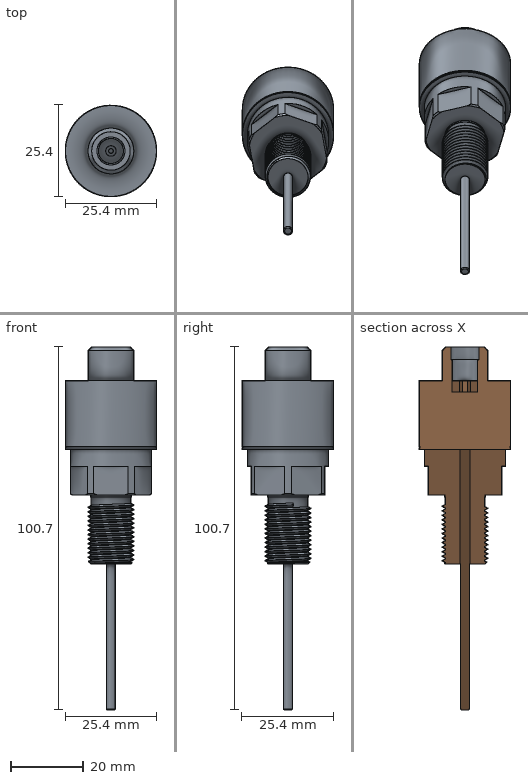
import cadquery as cq
import math

TOTAL_HEIGHT = 100.7
HOUSING_TOP = 91.3
HOUSING_BOTTOM = 72.2
FLATS_TOP = 67.6
HEX_BOTTOM = 59.6
SHOULDER_BOTTOM = 59.0
THREAD_TOP = 56.9
STUD_BOTTOM = 40.5

HOUSING_DIAMETER = 25.4
GROOVE_OFFSET = 0.5
GROOVE_WIDTH = 0.3
GROOVE_DEPTH = 0.1
NECK_DIAMETER = 12.7
NECK_CHAMFER = 1.0
SOCKET_DIAMETER = 7.8
SOCKET_DEPTH = 3.5
INNER_BORE_DIAMETER = 6.9

INSULATOR_TOP = HOUSING_TOP
INSULATOR_THICKNESS = 3.0
SLEEVE_DIAMETER = 2.9
PIN_DIAMETER = 1.3

COLLAR_DIAMETER = 22.6
ACROSS_FLATS = 20.4
FLAT_COUNT = 6
COLLAR_CHAMFER = 0.4
SHOULDER_DIAMETER = 11.3
ROOT_DIAMETER = 11.1
CREST_DIAMETER = 12.7
THREAD_PITCH = 1.26
CREST_WIDTH = 0.1
ROOT_GAP = 0.1
RIDGE_OVERLAP = 0.1
STUD_CHAMFER = 0.8
TRIM_MARGIN = 0.5

ROD_DIAMETER = 2.5
ROD_CHAMFER = 0.3


def cylinder(diameter, bottom, top):
    """Upright cylinder on the central axis."""
    return cq.Workplane("XY").workplane(offset=bottom).circle(diameter / 2).extrude(top - bottom)


def make_housing():
    """Round housing with a socket neck on top, a fine groove near its lower edge and a stepped bore."""
    drum = cylinder(HOUSING_DIAMETER, HOUSING_BOTTOM, HOUSING_TOP)
    groove_bottom = HOUSING_BOTTOM + GROOVE_OFFSET
    groove_top = groove_bottom + GROOVE_WIDTH
    groove_core = cylinder(HOUSING_DIAMETER - 2 * GROOVE_DEPTH, groove_bottom, groove_top)
    groove = cylinder(2 * HOUSING_DIAMETER, groove_bottom, groove_top).cut(groove_core)
    neck = cylinder(NECK_DIAMETER, HOUSING_TOP, TOTAL_HEIGHT).faces(">Z").chamfer(NECK_CHAMFER)
    socket = cylinder(SOCKET_DIAMETER, TOTAL_HEIGHT - SOCKET_DEPTH, TOTAL_HEIGHT)
    inner_bore = cylinder(INNER_BORE_DIAMETER, INSULATOR_TOP - INSULATOR_THICKNESS, TOTAL_HEIGHT)
    return drum.union(neck).cut(groove).cut(socket).cut(inner_bore)


def contact_part(outer_diameter, inner_diameter=0.0):
    """Disc, sleeve or pin that fills one ring of the inner bore."""
    bottom = INSULATOR_TOP - INSULATOR_THICKNESS
    part = cylinder(outer_diameter, bottom, INSULATOR_TOP)
    if inner_diameter > 0:
        part = part.cut(cylinder(inner_diameter, bottom, INSULATOR_TOP))
    return part


def make_collar():
    """Round collar whose lower part carries six flats."""
    collar = cylinder(COLLAR_DIAMETER, HEX_BOTTOM, HOUSING_BOTTOM).faces("<Z").chamfer(COLLAR_CHAMFER)
    hexagon = (
        cq.Workplane("XY")
        .workplane(offset=HEX_BOTTOM)
        .polygon(FLAT_COUNT, ACROSS_FLATS / math.cos(math.pi / FLAT_COUNT))
        .extrude(FLATS_TOP - HEX_BOTTOM)
    )
    outside_flats = cylinder(2 * COLLAR_DIAMETER, HEX_BOTTOM, FLATS_TOP).cut(hexagon)
    return collar.cut(outside_flats)


def make_thread_ridge():
    """Right-hand helical ridge that starts below the stud and runs up to the thread top."""
    start = STUD_BOTTOM - THREAD_PITCH
    length = THREAD_TOP - start
    inner = ROOT_DIAMETER / 2 - RIDGE_OVERLAP
    crest = CREST_DIAMETER / 2
    half_base = (THREAD_PITCH - ROOT_GAP) / 2
    half_crest = CREST_WIDTH / 2
    helix = cq.Wire.makeHelix(THREAD_PITCH, length, ROOT_DIAMETER / 2, center=cq.Vector(0, 0, start))
    ridge = (
        cq.Workplane("XZ")
        .polyline([
            (inner, start - half_base),
            (crest, start - half_crest),
            (crest, start + half_crest),
            (inner, start + half_base),
        ])
        .close()
        .sweep(cq.Workplane(helix), isFrenet=True)
    )
    return ridge


def make_stud():
    """Threaded stud, trimmed to its length with a chamfered lower end."""
    core = cylinder(ROOT_DIAMETER, STUD_BOTTOM - 2 * THREAD_PITCH, SHOULDER_BOTTOM)
    trim_radius = CREST_DIAMETER / 2 + TRIM_MARGIN
    end_radius = CREST_DIAMETER / 2 - STUD_CHAMFER
    chamfer_top = STUD_BOTTOM + trim_radius - end_radius
    envelope = (
        cq.Workplane("XZ")
        .polyline([
            (0, STUD_BOTTOM),
            (end_radius, STUD_BOTTOM),
            (trim_radius, chamfer_top),
            (trim_radius, SHOULDER_BOTTOM),
            (0, SHOULDER_BOTTOM),
        ])
        .close()
        .revolve(360, (0, 0, 0), (0, 1, 0))
    )
    return core.union(make_thread_ridge()).intersect(envelope)


def make_fitting():
    """Collar and threaded stud in one piece, bored through for the rod."""
    shoulder = cylinder(SHOULDER_DIAMETER, SHOULDER_BOTTOM, HEX_BOTTOM)
    rod_hole = cylinder(ROD_DIAMETER, STUD_BOTTOM, HOUSING_BOTTOM)
    return make_collar().union(shoulder).union(make_stud()).cut(rod_hole)


def make_rod():
    """Plain rod from the top of the fitting down to its chamfered tip."""
    return cylinder(ROD_DIAMETER, 0, HOUSING_BOTTOM).faces("<Z").chamfer(ROD_CHAMFER)


housing = make_housing()
insulator = contact_part(INNER_BORE_DIAMETER, SLEEVE_DIAMETER)
contact_sleeve = contact_part(SLEEVE_DIAMETER, PIN_DIAMETER)
contact_pin = contact_part(PIN_DIAMETER)
fitting = make_fitting()
rod = make_rod()

result = cq.Compound.makeCompound([
    housing.solids().val(),
    insulator.solids().val(),
    contact_sleeve.solids().val(),
    contact_pin.solids().val(),
    fitting.solids().val(),
    rod.solids().val(),
])